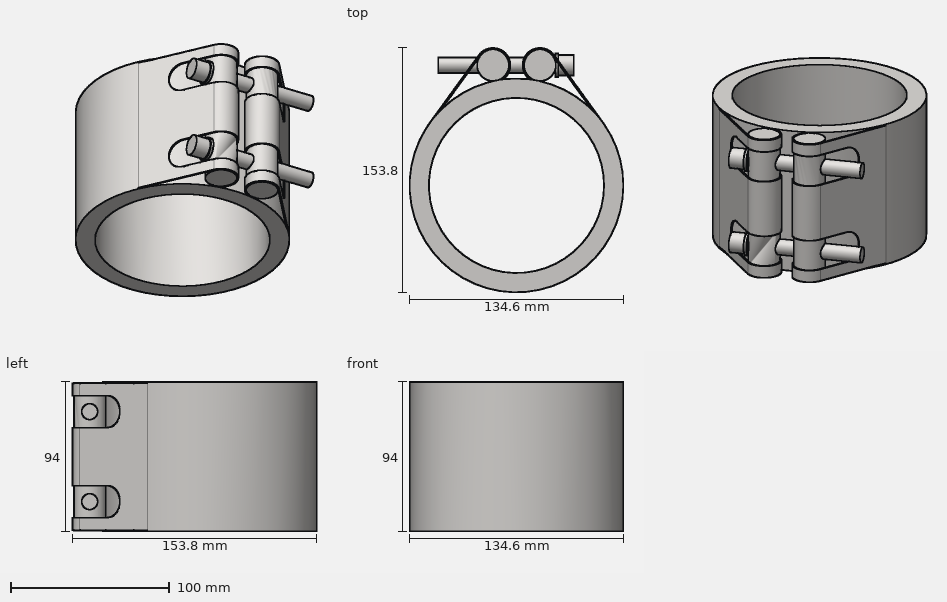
import cadquery as cq
import math

sleeve_radius = 134.6 / 2
bore_radius = 110.0 / 2
sleeve_height = 94.0

strap_height = 92.3
strap_thickness = 0.9
pin_radius = 20.0 / 2
pin_height = 92.9
pin_x = 14.8
pin_wrap_radius = pin_radius + strap_thickness
overall_depth = 153.8
pin_y = overall_depth - sleeve_radius - pin_wrap_radius

bolt_z = 28.3
rod_radius = 10.0 / 2
rod_start_x = -49.2
washer_radius = 15.0 / 2
washer_start_x = 24.5
washer_thickness = 1.8
head_radius = 13.0 / 2
head_length = 9.8

slot_radius = pin_radius
slot_end_y = 64.8
slot_cut_depth = 6.2

pin_direction = math.atan2(pin_y, -pin_x)
pin_distance = math.hypot(pin_x, pin_y)
strap_normal = pin_direction + math.acos((sleeve_radius - pin_wrap_radius) / pin_distance)
wrap_end = pin_direction - math.pi
wrap_middle = (strap_normal + wrap_end) / 2


def sleeve_point(radius):
    """Point where the straight strap run leaves the sleeve."""
    return (radius * math.cos(strap_normal), radius * math.sin(strap_normal))


def pin_point(radius, angle):
    """Point at a radius and angle about the left pin."""
    return (-pin_x + radius * math.cos(angle), pin_y + radius * math.sin(angle))


def make_sleeve():
    return (
        cq.Workplane("XY")
        .circle(sleeve_radius)
        .circle(bore_radius)
        .extrude(sleeve_height / 2, both=True)
    )


def make_pin():
    return cq.Workplane("XY").center(-pin_x, pin_y).circle(pin_radius).extrude(pin_height / 2, both=True)


def make_slot(z):
    """Cutter open around the pin, rounded at its end on the straight strap run."""
    tangent_x, tangent_y = sleeve_point(sleeve_radius)
    run_length = (slot_end_y - tangent_y) / math.cos(strap_normal)
    end_x = tangent_x - run_length * math.sin(strap_normal)
    wrap_cut = cq.Workplane("XY").box(
        sleeve_radius, sleeve_radius, 2 * slot_radius, centered=(False, False, True)
    )
    wrap_cut = wrap_cut.translate((end_x, slot_end_y, z))
    round_plane = cq.Plane(
        origin=(end_x, slot_end_y, z),
        xDir=(0, 0, 1),
        normal=(math.cos(strap_normal), math.sin(strap_normal), 0),
    )
    round_end = cq.Workplane(round_plane).circle(slot_radius).extrude(slot_cut_depth / 2, both=True)
    return wrap_cut.union(round_end)


def make_strap():
    """Left strap end: straight run, then a wrap over the pin back to the sleeve."""
    strap = (
        cq.Workplane("XY")
        .moveTo(*sleeve_point(sleeve_radius))
        .lineTo(*pin_point(pin_wrap_radius, strap_normal))
        .threePointArc(pin_point(pin_wrap_radius, wrap_middle), pin_point(pin_wrap_radius, wrap_end))
        .lineTo(*pin_point(pin_radius, wrap_end))
        .threePointArc(pin_point(pin_radius, wrap_middle), pin_point(pin_radius, strap_normal))
        .lineTo(*sleeve_point(sleeve_radius - strap_thickness))
        .close()
        .extrude(strap_height / 2, both=True)
    )
    for z in (-bolt_z, bolt_z):
        strap = strap.cut(make_slot(z))
    return strap


def bolt_section(z, start_x, length, radius):
    return cq.Workplane("YZ", origin=(start_x, pin_y, z)).circle(radius).extrude(length)


def make_bolt(z):
    head_start_x = washer_start_x + washer_thickness
    rod = bolt_section(z, rod_start_x, head_start_x - rod_start_x, rod_radius)
    washer = bolt_section(z, washer_start_x, washer_thickness, washer_radius)
    head = bolt_section(z, head_start_x, head_length, head_radius)
    return rod.union(washer).union(head)


clamp_end = make_pin().union(make_strap())
result = make_sleeve().union(clamp_end).union(clamp_end.mirror("YZ"))
for bolt_height in (-bolt_z, bolt_z):
    result = result.union(make_bolt(bolt_height))